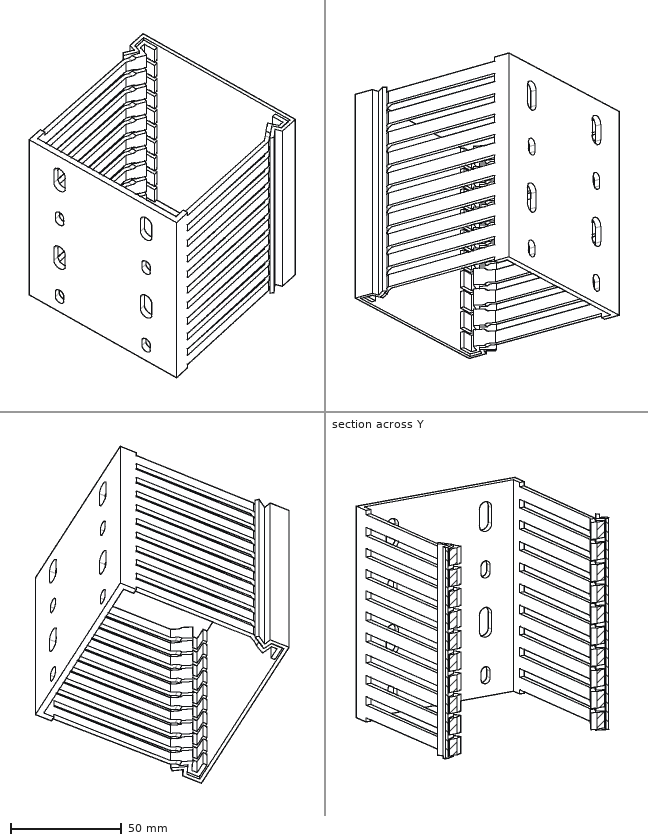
import cadquery as cq


length = 100.0
cover_width = 88.0
depth = 85.0
base_width = 85.2
base_thickness = 3.0
cover_thickness = 1.8

front_y = -depth / 2
back_y = depth / 2

wall_inner_x = 40.0
curb_height = 8.2
curb_y = front_y + curb_height
bend_x = 42.0
bend_y = 25.4
inner_bend_y = 24.9
nose_x = 34.9
nose_y = 33.6
shoulder_y = 35.6
lip_end_x = 34.1
lip_thickness = 2.0
hook_clearance = 0.4

cover_inner_x = cover_width / 2 - cover_thickness
cover_inner_y = back_y - cover_thickness
leg_bottom_y = 32.9
leg_shoulder_y = 34.3
notch_x = 40.6
notch_y = 31.8
crest_x = 38.1
crest_y = 32.6
tip_outer_x = 43.6
tip_outer_y = 27.4
tip_inner_x = 42.3
tip_inner_y = 26.0

hook_outer_x = cover_inner_x - hook_clearance
lip_top_y = cover_inner_y - hook_clearance
leg_slope = (leg_shoulder_y - crest_y) / (cover_inner_x - crest_x)
hook_shoulder_y = leg_shoulder_y - hook_clearance * leg_slope

finger_pitch = 10.0
slot_width = 4.0
throat_width = 2.0
slot_end_y = 29.5

hole_x = 25.0
hole_pitch = 50.0
large_hole_width = 6.5
large_hole_length = 14.0
large_hole_z = 35.0
small_hole_width = 4.8
small_hole_length = 8.0
small_hole_z = 10.0


def mirrored(points):
    """Close a half outline with its mirror image across X = 0."""
    return points + [(-x, y) for x, y in reversed(points)]


def make_blank_duct():
    half_outline = [
        (base_width / 2, front_y),
        (bend_x, bend_y),
        (crest_x, crest_y),
        (hook_outer_x, hook_shoulder_y),
        (hook_outer_x, lip_top_y),
        (lip_end_x, lip_top_y),
        (lip_end_x, lip_top_y - lip_thickness),
        (wall_inner_x, lip_top_y - lip_thickness),
        (wall_inner_x, shoulder_y),
        (nose_x, nose_y),
        (wall_inner_x, inner_bend_y),
        (wall_inner_x, front_y + base_thickness),
    ]
    return cq.Workplane("XY").polyline(mirrored(half_outline)).close().extrude(length)


def make_slot_cutter(z):
    """Round-ended slot plus the narrow throat, through both side walls."""
    end_radius = slot_width / 2
    end_center_y = slot_end_y - curb_y - end_radius
    slot = (
        cq.Workplane("YZ")
        .moveTo(0, -end_radius)
        .lineTo(end_center_y, -end_radius)
        .threePointArc((end_center_y + end_radius, 0), (end_center_y, end_radius))
        .lineTo(0, end_radius)
        .close()
        .extrude(cover_width / 2, both=True)
    )
    throat = cq.Workplane("XY").box(cover_width, back_y - curb_y, throat_width, centered=(True, False, True))
    return slot.union(throat).translate((0, curb_y, z))


def make_mounting_hole(x, z, width, hole_length):
    return (
        cq.Workplane("XZ", origin=(x, front_y, z))
        .slot2D(hole_length, width, 90)
        .extrude(-base_thickness)
    )


def make_duct():
    duct = make_blank_duct()

    for index in range(round(length / finger_pitch) + 1):
        duct = duct.cut(make_slot_cutter(index * finger_pitch))

    for x in (-hole_x, hole_x):
        for row in range(round(length / hole_pitch)):
            row_z = row * hole_pitch
            duct = duct.cut(make_mounting_hole(x, row_z + large_hole_z, large_hole_width, large_hole_length))
            duct = duct.cut(make_mounting_hole(x, row_z + small_hole_z, small_hole_width, small_hole_length))
    return duct


def make_cover():
    half_outline = [
        (cover_width / 2, back_y),
        (cover_width / 2, leg_bottom_y),
        (notch_x, notch_y),
        (tip_outer_x, tip_outer_y),
        (tip_inner_x, tip_inner_y),
        (crest_x, crest_y),
        (cover_inner_x, leg_shoulder_y),
        (cover_inner_x, cover_inner_y),
    ]
    return cq.Workplane("XY").polyline(mirrored(half_outline)).close().extrude(length)


duct = make_duct()
cover = make_cover()

result = cq.Compound.makeCompound([duct.val(), cover.val()])